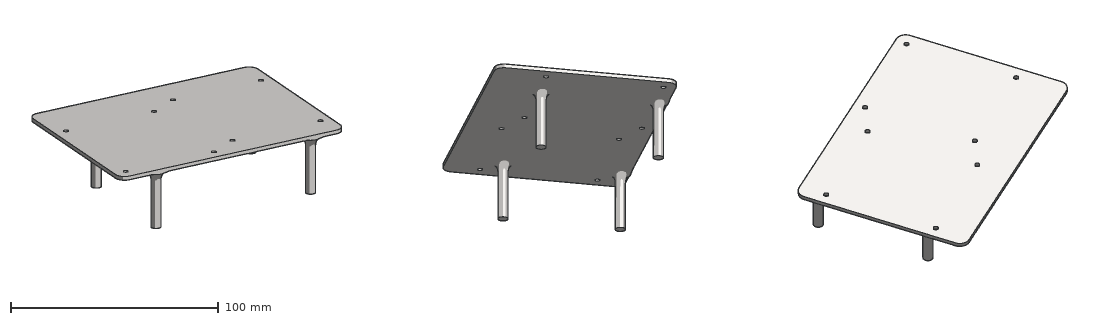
import cadquery as cq

plate_width = 90
plate_length = 125
plate_thickness = 2.0
corner_radius = 5

hole_diameter = 2.4
pattern_width = 58.0
pattern_length = 49.0
rear_pattern_center = (2.0, 32.2)
front_pattern_center = (10, -31.8)

leg_diameter = 5
leg_length = 30
leg_spacing_x = 58.0
leg_spacing_y = 86.0
leg_center = (11.0, 3.0)
flare_radius = 5


def corner_points(center, width, length):
    """Corners of a rectangle centred at the given point."""
    return [
        (center[0] + side_x * width / 2, center[1] + side_y * length / 2)
        for side_x in (-1, 1)
        for side_y in (-1, 1)
    ]


def rounded_block(height):
    """Block with the plate outline, reaching down from Z = 0."""
    block = cq.Workplane("XY").rect(plate_width, plate_length).extrude(-height)
    return block.edges("|Z").fillet(corner_radius)


def make_leg():
    """Round leg whose top flares through a quarter circle to meet the plate."""
    leg_radius = leg_diameter / 2
    flare_outer_radius = leg_radius + flare_radius
    flare_bottom = -plate_thickness - flare_radius
    arc_offset = flare_radius * 0.5 ** 0.5
    arc_middle = (flare_outer_radius - arc_offset, flare_bottom + arc_offset)
    profile = (
        cq.Workplane("XZ")
        .moveTo(0, -plate_thickness - leg_length)
        .lineTo(leg_radius, -plate_thickness - leg_length)
        .lineTo(leg_radius, flare_bottom)
        .threePointArc(arc_middle, (flare_outer_radius, -plate_thickness))
        .lineTo(flare_outer_radius, -plate_thickness / 2)
        .lineTo(0, -plate_thickness / 2)
        .close()
    )
    return profile.revolve(360, (0, 0, 0), (0, 1, 0))


result = rounded_block(plate_thickness)

leg_limits = rounded_block(plate_thickness + leg_length)
leg = make_leg()
for leg_x, leg_y in corner_points(leg_center, leg_spacing_x, leg_spacing_y):
    placed_leg = leg.translate((leg_x, leg_y, 0))
    result = result.union(placed_leg.intersect(leg_limits))

for pattern_center in (rear_pattern_center, front_pattern_center):
    holes = (
        cq.Workplane("XY")
        .pushPoints(corner_points(pattern_center, pattern_width, pattern_length))
        .circle(hole_diameter / 2)
        .extrude(-plate_thickness)
    )
    result = result.cut(holes)